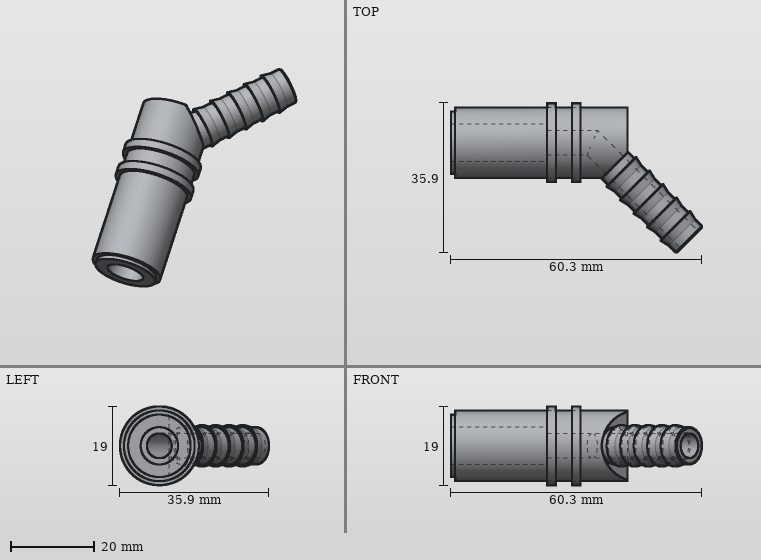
import cadquery as cq
import math

overall_length = 60.35

body_length = 42.5
body_diameter = 17.0
lip_diameter = 15.0
lip_length = 1.0
socket_diameter = 9.0
socket_depth = 22.95

ring_diameter = 19.0
ring_width = 2.1
ring_pitch = 6.0
first_ring_start = 23.1
ring_count = 2

bend_x = 34.0
bend_angle = 45.0
passage_diameter = 6.0
tail_diameter = 9.0
barb_diameter = 10.0
seat_distance = 7.65
tip_chamfer = 0.25
first_barb_offset = 2.25
barb_length = 2.25
barb_pitch = 4.6
barb_count = 5

bend_point = cq.Vector(bend_x, 0, 0)
bend_cos = math.cos(math.radians(bend_angle))
bend_sin = math.sin(math.radians(bend_angle))
tail_direction = cq.Vector(bend_cos, -bend_sin, 0)

tip_face_radius = tail_diameter / 2 - tip_chamfer
tail_length = (overall_length - bend_x - tip_face_radius * bend_sin) / bend_cos


def x_cylinder(start, length, diameter):
    """Cylinder around the tube axis."""
    return cq.Workplane("YZ", origin=(start, 0, 0)).circle(diameter / 2).extrude(length)


def tail_plane(distance):
    """Workplane across the tail axis, measured from the bend."""
    origin = bend_point + tail_direction * distance
    return cq.Workplane(cq.Plane(origin, xDir=(0, 0, 1), normal=tail_direction))


def make_tube():
    """Stepped outer tube, cut off square to the tail axis where the tail leaves."""
    lip = x_cylinder(0, lip_length, lip_diameter)
    barrel = x_cylinder(lip_length, body_length - lip_length, body_diameter)
    beyond_seat = tail_plane(seat_distance).rect(2 * body_length, 2 * body_length).extrude(body_length)
    return lip.union(barrel).cut(beyond_seat)


def make_tail():
    """Hose tail with tapered barbs, sharp edge towards the tube."""
    stem = tail_plane(seat_distance).circle(tail_diameter / 2).extrude(tail_length - seat_distance)
    tail = stem.faces(cq.selectors.DirectionMinMaxSelector(tail_direction)).chamfer(tip_chamfer)
    for index in range(barb_count):
        start = seat_distance + first_barb_offset + index * barb_pitch
        barb = (
            tail_plane(start)
            .circle(barb_diameter / 2)
            .workplane(offset=barb_length)
            .circle(tail_diameter / 2)
            .loft(ruled=True)
        )
        tail = tail.union(barb)
    return tail


def make_passage():
    """Socket at the open end, then a narrower bore mitred at the bend and out of the tail."""
    socket = x_cylinder(0, socket_depth, socket_diameter)
    outlet = bend_point + tail_direction * tail_length
    centreline = cq.Workplane("XY").polyline([(0, 0), (bend_x, 0), (outlet.x, outlet.y)])
    bore = (
        cq.Workplane("YZ")
        .circle(passage_diameter / 2)
        .sweep(centreline, transition="right")
    )
    return socket.union(bore)


def make_ring(start):
    """Flat band whose bore fits the tube."""
    return x_cylinder(start, ring_width, ring_diameter).cut(
        x_cylinder(start, ring_width, body_diameter)
    )


housing = make_tube().union(make_tail()).cut(make_passage())
rings = [make_ring(first_ring_start + index * ring_pitch) for index in range(ring_count)]

result = cq.Compound.makeCompound([housing.val(), *[ring.val() for ring in rings]])